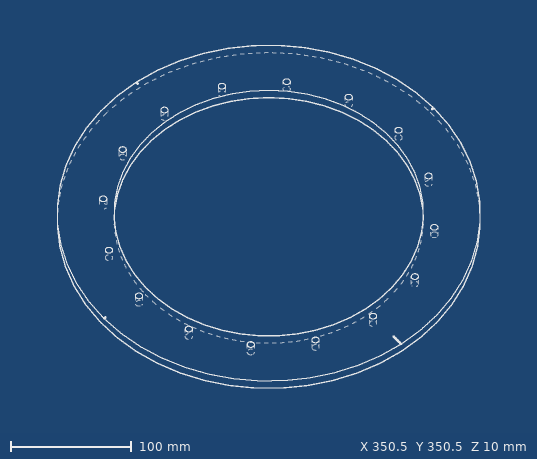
import cadquery as cq

outer_diameter = 350.5
bore_diameter = 256.0
thickness = 10.0

hole_count = 16
hole_diameter = 6.0
hole_circle_diameter = 275.8

mark_width = 1.0
mark_depth = 0.53
long_mark_length = 10.5
short_mark_length = 2.0


def make_ring():
    return (
        cq.Workplane("XY")
        .circle(outer_diameter / 2)
        .circle(bore_diameter / 2)
        .extrude(thickness)
    )


def make_holes():
    return (
        cq.Workplane("XY")
        .polarArray(hole_circle_diameter / 2, 0, 360, hole_count)
        .circle(hole_diameter / 2)
        .extrude(thickness)
    )


def make_mark(length, angle):
    """Cutter for a mark running inward from the rim at an angle from +X."""
    return (
        cq.Workplane("XY")
        .box(2 * length, mark_width, 2 * mark_depth)
        .translate((outer_diameter / 2, 0, thickness))
        .rotate((0, 0, 0), (0, 0, 1), angle)
    )


result = make_ring().cut(make_holes())
result = result.cut(make_mark(long_mark_length, 0))
for mark_angle in (90, 180, 270):
    result = result.cut(make_mark(short_mark_length, mark_angle))